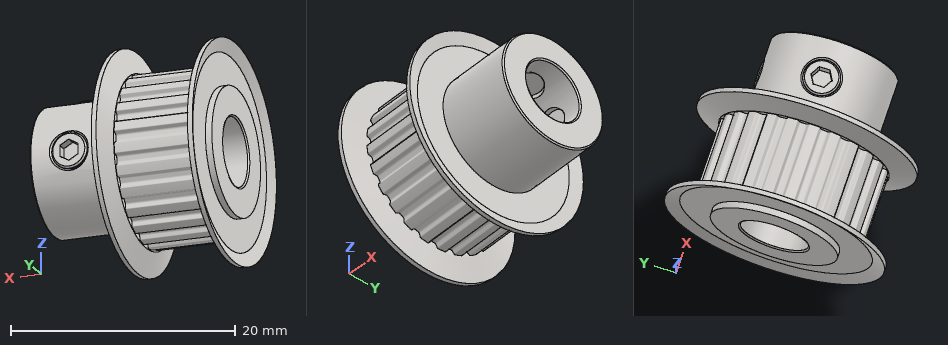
import cadquery as cq
import math

pulley_length = 17.45
hub_radius = 5.98
hub_chamfer = 0.15
bore_radius = 3.19
bore_chamfer = 0.15

flange_radius = 10.35
flange_foot_radius = 8.01
left_rim_start = 0.17
left_rim_end = 0.65
teeth_start = 1.28
teeth_end = 8.61
right_rim_start = 9.38
right_rim_end = 9.83
dish_floor_radius = 9.05
dish_depth = 0.45

tooth_count = 24
tip_radius = 7.89
groove_depth = 0.45
groove_floor_half_width = 0.31
groove_top_half_width = 0.55
groove_root_fillet = 0.23
groove_tip_fillet = 0.1
tip_tolerance = 0.002

screw_x = 13.68
screw_radius = 1.7
screw_top = hub_radius
screw_chamfer = 0.17
screw_hole_chamfer = 0.17
socket_across_flats = 1.72
socket_depth = 1.0
screw_tilts = (0, -90)

X_AXIS = ((0, 0, 0), (1, 0, 0))


def revolve_about_x(points):
    """Solid of revolution from (x, radius) points."""
    return cq.Workplane("XY").polyline(points).close().revolve(360, (0, 0, 0), (1, 0, 0))


def along_x(start):
    """Workplane facing +X at the given X, with local x = Y and local y = Z."""
    return cq.Workplane("YZ", origin=(start, 0, 0))


def make_toothed_drum():
    """Cylinder with rounded trapezoidal grooves; the first groove points to -Y."""
    width = teeth_end - teeth_start
    floor_radius = tip_radius - groove_depth
    wall_slope = (groove_top_half_width - groove_floor_half_width) / groove_depth
    cutter_height = 2 * groove_depth
    cutter_half_width = groove_floor_half_width + wall_slope * cutter_height
    groove = (
        along_x(teeth_start)
        .polyline([
            (-floor_radius, -groove_floor_half_width),
            (-floor_radius, groove_floor_half_width),
            (-floor_radius - cutter_height, cutter_half_width),
            (-floor_radius - cutter_height, -cutter_half_width),
        ])
        .close()
        .extrude(width)
        .edges("|X and >Y")
        .fillet(groove_root_fillet)
    )
    drum = along_x(teeth_start).circle(tip_radius).extrude(width)
    for index in range(tooth_count):
        drum = drum.cut(groove.rotate(*X_AXIS, index * 360 / tooth_count))

    tip_edges = [
        edge for edge in drum.edges("|X").vals()
        if math.hypot(edge.Center().y, edge.Center().z) > tip_radius - tip_tolerance
    ]
    return drum.newObject(tip_edges).fillet(groove_tip_fillet)


def make_flange(outer_face, rim_end, foot):
    """Dished flange between its outer face and its foot beside the teeth."""
    inward = math.copysign(1, foot - outer_face)
    dish_floor = outer_face + inward * dish_depth
    return revolve_about_x([
        (dish_floor, 0),
        (dish_floor, dish_floor_radius),
        (outer_face, flange_radius),
        (rim_end, flange_radius),
        (foot, flange_foot_radius),
        (foot, 0),
    ])


def make_screw_hole():
    """Cutter from the pulley axis out through the +Z side of the hub."""
    return (
        cq.Workplane("XY", origin=(screw_x, 0, 0))
        .circle(screw_radius)
        .extrude(2 * hub_radius)
    )


def make_pulley():
    """Hub, toothed drum and both flanges as one solid, with the bore through it."""
    hub = along_x(0).circle(hub_radius).extrude(pulley_length)
    hub = hub.faces(">X").chamfer(hub_chamfer)
    for tilt in screw_tilts:
        hub = hub.cut(make_screw_hole().rotate(*X_AXIS, tilt))
    hub = hub.edges("%BSPLINE").chamfer(screw_hole_chamfer)

    pulley = (
        hub.union(make_toothed_drum())
        .union(make_flange(left_rim_start, left_rim_end, teeth_start))
        .union(make_flange(right_rim_end, right_rim_start, teeth_end))
    )
    mouth_radius = bore_radius + bore_chamfer
    bore = revolve_about_x([
        (0, 0),
        (0, mouth_radius),
        (bore_chamfer, bore_radius),
        (pulley_length - bore_chamfer, bore_radius),
        (pulley_length, mouth_radius),
        (pulley_length, 0),
    ])
    return pulley.cut(bore)


def make_set_screw(tilt):
    """Socket set screw that reaches from the bore to the hub surface."""
    socket_across_corners = socket_across_flats / math.cos(math.radians(30))
    screw = (
        cq.Workplane("XY", origin=(screw_x, 0, bore_radius))
        .circle(screw_radius)
        .extrude(screw_top - bore_radius)
        .faces(">Z")
        .chamfer(screw_chamfer)
    )
    socket = (
        cq.Workplane("XY", origin=(screw_x, 0, screw_top - socket_depth))
        .transformed(rotate=(0, 0, 90))
        .polygon(6, socket_across_corners)
        .extrude(socket_depth)
    )
    return screw.cut(socket).rotate(*X_AXIS, tilt)


pulley = make_pulley()
set_screws = [make_set_screw(tilt) for tilt in screw_tilts]

result = cq.Compound.makeCompound([pulley.val(), *[screw.val() for screw in set_screws]])